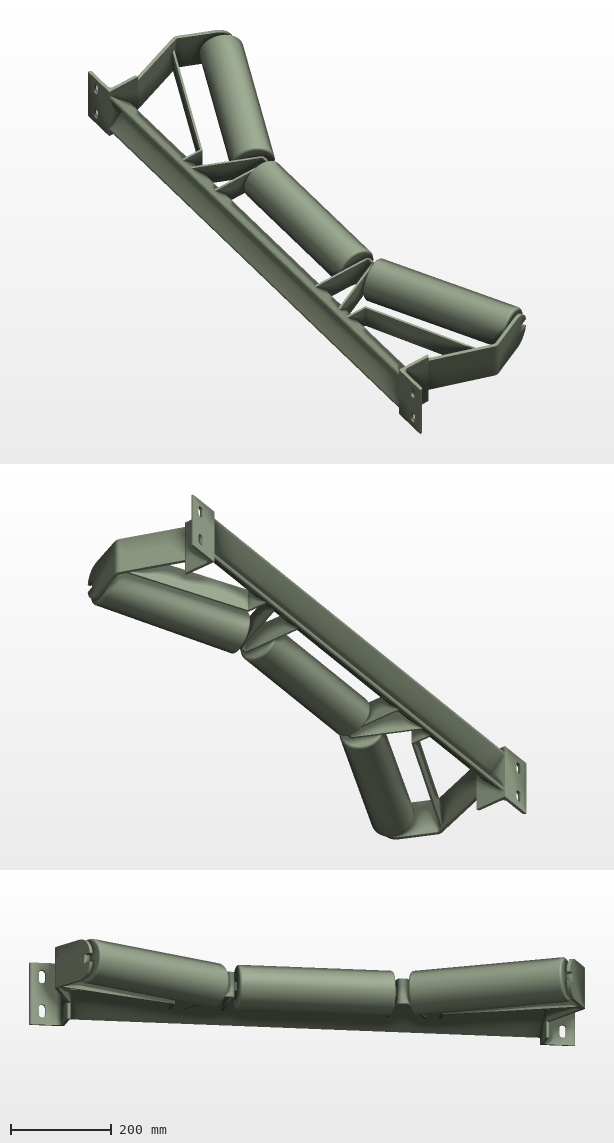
import cadquery as cq
import math


LENGTH = 1100.0
ANGLE_THICKNESS = 7.0
ROOT_RADIUS = 9.0
TOE_RADIUS = 4.0
FOOT_LEG = 70.0
BEAM_LEG = 69.0

FOOT_HEIGHT = 125.0
SLOT_WIDTH = 13.0
SLOT_LENGTH = 26.0
SLOT_SPACING = 69.0
SLOT_EDGE_DISTANCE = 25.0

ARM_THICKNESS = 7.2
ARM_BOTTOM = -31.0
ARM_TOP = 52.0
ARM_LEAN = 20.0
ARM_BEND_Y = 201.0
ARM_INNER_BEND_RADIUS = 9.0
ARM_TIP_LENGTH = 118.0
ARM_TIP_RADIUS = 36.0

ROLLER_RADIUS = 44.5
ROLLER_LENGTH = 315.0
ROLLER_EDGE_RADIUS = 5.0
END_GAP = 7.0
SHAFT_WIDTH = 19.0
SHAFT_HEIGHT = 18.0
TROUGH_ANGLE = 25.0
FORWARD_TILT = 2.0
SIDE_ROLLER_UP_ARM = 89.0
SIDE_ROLLER_Z = 4.0
MIDDLE_ROLLER_Y = 135.0

STRAP_THICKNESS = 4.0
STRAP_HEIGHT = 51.0
HAIRPIN_TOP_Y = 161.0
HAIRPIN_BEND_RADIUS = 9.0
BRACE_FOOT_X = -270.0
BRACE_BEND_Y = 74.0
BRACE_END_Y = 197.0

beam_end_x = FOOT_LEG - LENGTH / 2
beam_length = -2 * beam_end_x
toe_drop = (ANGLE_THICKNESS - 2 * TOE_RADIUS) / math.sqrt(2) + TOE_RADIUS
beam_apex_y = BEAM_LEG / math.sqrt(2) + toe_drop

trough = math.radians(TROUGH_ANGLE)
up_arm = cq.Vector(math.sin(trough), math.cos(trough))
outward = cq.Vector(-math.cos(trough), math.sin(trough))
arm_foot = cq.Vector(beam_end_x, FOOT_LEG)
arm_bend = arm_foot + cq.Vector(-math.tan(math.radians(ARM_LEAN)), 1) * (ARM_BEND_Y - FOOT_LEG)
arm_tip = arm_bend + up_arm * ARM_TIP_LENGTH

roller_half = ROLLER_LENGTH / 2 + END_GAP
side_center = arm_bend + up_arm * SIDE_ROLLER_UP_ARM - outward * roller_half
hairpin_side_point = side_center - outward * roller_half


def angle_bar(plane, leg, length):
    """Equal angle with rounded root and toes; its outer corner runs along the plane normal."""
    t = ANGLE_THICKNESS
    toe_center = t - TOE_RADIUS
    toe_end = leg - TOE_RADIUS
    toe_diagonal = TOE_RADIUS * math.sqrt(0.5)
    root_center = t + ROOT_RADIUS
    root_middle = root_center - ROOT_RADIUS * math.sqrt(0.5)
    return (
        cq.Workplane(plane)
        .lineTo(leg, 0)
        .lineTo(leg, toe_center)
        .threePointArc((toe_end + toe_diagonal, toe_center + toe_diagonal), (toe_end, t))
        .lineTo(root_center, t)
        .threePointArc((root_middle, root_middle), (t, root_center))
        .lineTo(t, toe_end)
        .threePointArc((toe_center + toe_diagonal, toe_end + toe_diagonal), (toe_center, leg))
        .lineTo(0, leg)
        .close()
        .extrude(length)
    )


def bent_strip(path, thickness, bottom, top):
    """Upright strip bent along a path in the XY plane, thickened to the left of the path."""
    normals = []
    for start, end in zip(path, path[1:]):
        along = (end - start).normalized()
        normals.append(cq.Vector(-along.y, along.x))
    offset = [path[0] + normals[0] * thickness]
    for point, before, after in zip(path[1:], normals, normals[1:]):
        offset.append(point + (before + after) * (thickness / (1 + before.dot(after))))
    offset.append(path[-1] + normals[-1] * thickness)
    outline = [(p.x, p.y) for p in path + offset[::-1]]
    return cq.Workplane("XY", origin=(0, 0, bottom)).polyline(outline).close().extrude(top - bottom)


def round_edge(body, point, z, radius):
    """Fillet the edge whose middle is nearest to the given place."""
    nearest = cq.selectors.NearestToPointSelector((point.x, point.y, z))
    return body.edges(nearest).fillet(radius)


def on_side_axis(body):
    """Move a body from the X axis to the inclined axis of the left side roller."""
    tilted = body.rotate((0, 0, 0), (0, 1, 0), FORWARD_TILT)
    inclined = tilted.rotate((0, 0, 0), (0, 0, 1), -TROUGH_ANGLE)
    return inclined.translate((side_center.x, side_center.y, SIDE_ROLLER_Z))


def make_roller(left_support, right_support):
    """Roller along X whose shaft ends pass through supports of the given thicknesses."""
    shell = cq.Workplane("YZ", origin=(-ROLLER_LENGTH / 2, 0, 0)).circle(ROLLER_RADIUS).extrude(ROLLER_LENGTH)
    shell = shell.faces("|X").edges().fillet(ROLLER_EDGE_RADIUS)
    shaft_length = 2 * roller_half + left_support + right_support
    shaft_middle = (right_support - left_support) / 2
    shaft = cq.Workplane("XY").box(shaft_length, SHAFT_WIDTH, SHAFT_HEIGHT).translate((shaft_middle, 0, 0))
    return shell.union(shaft)


def make_beam():
    """Angle lying with its corner towards the rollers and both legs sloping back to the mounting face."""
    plane = cq.Plane(origin=(beam_end_x, beam_apex_y, 0), xDir=(0, -1, 1), normal=(1, 0, 0))
    return angle_bar(plane, BEAM_LEG, beam_length)


def make_beam_envelope():
    """Full wedge behind the outer faces of the crossbeam, used to shape the feet of the straps."""
    back_y = beam_apex_y - BEAM_LEG
    return (
        cq.Workplane("YZ", origin=(beam_end_x, 0, 0))
        .polyline([(beam_apex_y, 0), (back_y, -BEAM_LEG), (back_y, BEAM_LEG)])
        .close()
        .extrude(beam_length)
    )


def make_foot():
    """Upright angle with two mounting slots in the leg on the mounting face."""
    plane = cq.Plane(origin=(beam_end_x, 0, FOOT_HEIGHT / 2), xDir=(-1, 0, 0), normal=(0, 0, -1))
    slots = (
        cq.Workplane("XZ", origin=(SLOT_EDGE_DISTANCE - LENGTH / 2, 0, 0))
        .rarray(11, SLOT_SPACING, 1, 2)
        .slot2D(SLOT_LENGTH, SLOT_WIDTH, 90)
        .extrude(-ANGLE_THICKNESS)
    )
    return angle_bar(plane, FOOT_LEG, FOOT_HEIGHT).cut(slots)


def make_arm():
    """Bent arm with a rounded tip and an open slot for the shaft end."""
    arm = bent_strip([arm_foot, arm_bend, arm_tip], ARM_THICKNESS, ARM_BOTTOM, ARM_TOP)
    middle_z = (ARM_BOTTOM + ARM_TOP) / 2
    outer_bend = arm_bend + cq.Vector(-ARM_THICKNESS, 0)
    arm = round_edge(arm, outer_bend, middle_z, ARM_INNER_BEND_RADIUS + ARM_THICKNESS)
    arm = round_edge(arm, arm_bend, middle_z, ARM_INNER_BEND_RADIUS)
    tip_middle = arm_tip + outward * (ARM_THICKNESS / 2)
    for z in (ARM_BOTTOM, ARM_TOP):
        arm = round_edge(arm, tip_middle, z, ARM_TIP_RADIUS)
    slot_middle_y = (ARM_TIP_LENGTH - SHAFT_WIDTH) / 2
    slot = cq.Workplane("XY").box(2 * ARM_THICKNESS, ARM_TIP_LENGTH, SHAFT_HEIGHT)
    slot = slot.translate((-roller_half - ARM_THICKNESS / 2, slot_middle_y, 0))
    return arm.cut(on_side_axis(slot))


def make_strap(path):
    """Strap along a path, centred on Z = 0 and trimmed where it stands on the crossbeam."""
    strap = bent_strip(path, STRAP_THICKNESS, -STRAP_HEIGHT / 2, STRAP_HEIGHT / 2)
    return strap.cut(make_beam_envelope())


def make_hairpin(neighbours):
    """Strap bent over between two rollers, with holes for both shaft ends."""

    def side_face(y):
        return cq.Vector(hairpin_side_point.x + (y - hairpin_side_point.y) * math.tan(trough), y)

    middle_top = cq.Vector(-roller_half, HAIRPIN_TOP_Y)
    path = [cq.Vector(-roller_half, 0), middle_top, side_face(HAIRPIN_TOP_Y), side_face(0)]
    hairpin = make_strap(path)
    for corner in (middle_top, side_face(HAIRPIN_TOP_Y)):
        hairpin = round_edge(hairpin, corner, 0, HAIRPIN_BEND_RADIUS)
    for neighbour in neighbours:
        hairpin = hairpin.cut(neighbour)
    return hairpin


def make_brace(arm):
    """Strap from the crossbeam to the inner face of the arm, just below its bend."""
    path = [
        cq.Vector(BRACE_FOOT_X, 0),
        cq.Vector(BRACE_FOOT_X, BRACE_BEND_Y),
        cq.Vector(arm_bend.x - ARM_THICKNESS / 4, BRACE_END_Y),
    ]
    return make_strap(path).cut(arm)


side_roller = on_side_axis(make_roller(ARM_THICKNESS, STRAP_THICKNESS))
middle_roller = make_roller(STRAP_THICKNESS, STRAP_THICKNESS).translate((0, MIDDLE_ROLLER_Y, 0))
arm = make_arm()
bracket = make_foot().union(arm)
hairpin = make_hairpin([side_roller, middle_roller])
brace = make_brace(arm)

beam = make_beam().union(brace)
right_brace = brace.mirror("YZ")

bodies = [*beam.solids().vals(), *right_brace.solids().vals(), *middle_roller.solids().vals()]
for left_body in (bracket, hairpin, side_roller):
    bodies += left_body.solids().vals()
    bodies += left_body.mirror("YZ").solids().vals()

result = cq.Compound.makeCompound(bodies)